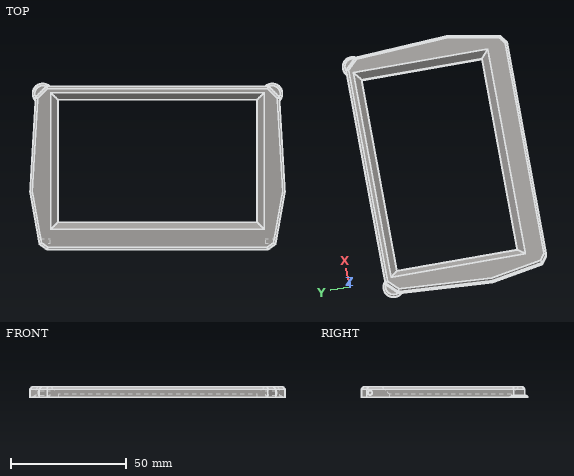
import cadquery as cq

frame_height = 4.6
frame_depth = 70.7
outer_chamfer = 1.0
widest_half = 55.2
widest_y = 25.2
front_half = 47.8
front_corner_half = 51.1
front_corner_y = 2.4
rear_half = 48.0
rear_corner_half = 52.7
rear_corner_y = 66.0

window_width = 86.0
window_depth = 52.8
window_center_y = 38.4
flare_inset = 3.1
flare_depth = 3.1

total_depth = 71.9
tab_radius = 4.4
tab_height = 1.0
tab_rim_height = 0.3
tab_chamfer_inset = 1.0
tab_x = 49.6
tab_y = total_depth - tab_radius

pin_diameter = 1.9
pin_depth = 4.4
pin_y = 3.8
pin_z = 2.0


def make_body():
    right_side = [
        (front_half, 0),
        (front_corner_half, front_corner_y),
        (widest_half, widest_y),
        (rear_corner_half, rear_corner_y),
        (rear_half, frame_depth),
    ]
    left_side = [(-x, y) for x, y in reversed(right_side)]
    body = cq.Workplane("XY").polyline(right_side + left_side).close().extrude(frame_height)
    return body.faces(">Z").chamfer(outer_chamfer)


def make_window():
    opening = (
        cq.Workplane("XY")
        .center(0, window_center_y)
        .rect(window_width, window_depth)
        .extrude(frame_height)
    )
    flare = (
        cq.Workplane("XY", origin=(0, window_center_y, frame_height - flare_depth))
        .rect(window_width, window_depth)
        .workplane(offset=flare_depth)
        .rect(window_width + 2 * flare_inset, window_depth + 2 * flare_inset)
        .loft(ruled=True)
    )
    return opening.union(flare)


def make_tabs():
    return (
        cq.Workplane("XY")
        .pushPoints([(-tab_x, tab_y), (tab_x, tab_y)])
        .circle(tab_radius)
        .extrude(tab_height)
        .faces(">Z")
        .chamfer(tab_height - tab_rim_height, tab_chamfer_inset)
    )


def make_pin_hole(side):
    start = (side * widest_half, pin_y, pin_z)
    length = widest_half - front_corner_half + pin_depth
    plane = cq.Plane(origin=start, xDir=(0, 1, 0), normal=(-side, 0, 0))
    return cq.Workplane(plane).circle(pin_diameter / 2).extrude(length)


result = make_body().union(make_tabs()).cut(make_window())
for side in (-1, 1):
    result = result.cut(make_pin_hole(side))